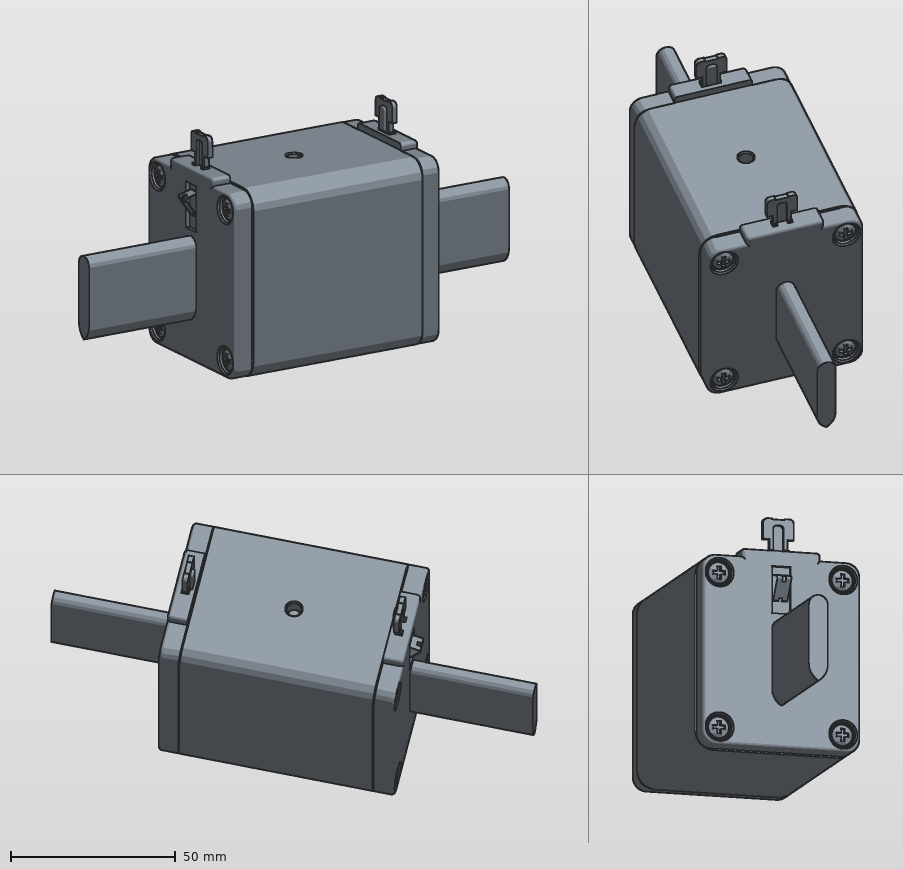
import cadquery as cq
import math

BODY_WIDTH = 51.0
BODY_HEIGHT = 60.0
BODY_LENGTH = 60.3
BODY_CORNER_RADIUS = 6.0

CAP_INSET = 0.5
CAP_DEPTH = 6.3
CAP_GAP = 0.3
CAP_SEAT_INSET = 0.9
CAP_CORNER_RADIUS = 4.4
CAP_EDGE_RADIUS = 1.12
RIDGE_WIDTH = 24.9
RIDGE_TOP = 62.0
RIDGE_CORNER_RADIUS = 1.0

OVERALL_LENGTH = 150.0
BLADE_WIDTH = 6.0
BLADE_FLAT_BOTTOM = 18.9
BLADE_FLAT_TOP = 37.4

SCREW_SPACING_X = 39.3
SCREW_SPACING_Z = 48.0
SCREW_HOLE_DIAMETER = 8.0
SCREW_HOLE_DEPTH = 1.8
SCREW_COUNTERSINK_DIAMETER = 9.0
SCREW_HEAD_DIAMETER = 7.0
SCREW_DOME_DIAMETER = 6.6
SCREW_RIM_DEPTH = 1.2
SCREW_CROWN_DEPTH = 0.2
CROSS_LENGTH = 3.9
CROSS_WIDTH = 1.2
CROSS_DEPTH = 1.5

LUG_TOP = 72.5
LUG_INSET = 3.0
LUG_THICKNESS = 1.6
LUG_HEAD_WIDTH = 9.8
LUG_HEAD_BOTTOM = 66.0
LUG_HEAD_RADIUS = 1.5
LUG_STEM_WIDTH = 5.7
LUG_NOTCH_WIDTH = 4.0
LUG_NOTCH_DEPTH = 0.3
LUG_FOOT_WIDTH = 6.3
LUG_FOOT_PROJECTION = 0.6
LUG_FOOT_HEIGHT = 0.6
BEAD_TOP = 70.4
BEAD_WIDTH = 3.3
BEAD_RADIUS = 1.2
BEAD_DEPTH = 0.9
BEAD_EDGE_RADIUS = 0.5

WINDOW_WIDTH = 6.0
WINDOW_BOTTOM = 42.3
WINDOW_TOP = 57.0
WINDOW_DEPTH = 1.4
FLAG_WIDTH = 4.5
FLAG_TOP = 54.6
FLAG_TIP_HEIGHT = 53.2
FLAG_BOTTOM = 46.4
FLAG_REACH = 3.6
FLAG_TIP_RADIUS = 0.8
FLAG_SLOT_WIDTH = 1.0
FLAG_SLOT_START = 1.6
FLAG_SLOT_BOTTOM = 51.8
FLAG_THICKNESS = 0.2
FLAG_NOTCH_HEIGHT = 0.9

TOP_HOLE_DIAMETER = 4.5
TOP_HOLE_RIM_DIAMETER = 5.4
TOP_HOLE_RIM_ANGLE = 90
TOP_HOLE_DEPTH = 4.5

OVERLAP = 0.8
BODY_END = BODY_LENGTH / 2
CAP_BACK = BODY_END + CAP_GAP
CAP_FACE = CAP_BACK + CAP_DEPTH
CENTRE_Z = BODY_HEIGHT / 2


def box(width, y_start, y_end, z_bottom, z_top):
    """Block centred on X = 0 between the given Y and Z limits."""
    corner = (-width / 2, y_start, z_bottom)
    return cq.Workplane("XY").box(width, y_end - y_start, z_top - z_bottom, centered=False).translate(corner)


def front_plane(y):
    """Sketch plane at the given Y whose axes are X and Z; positive extrusion goes to -Y."""
    return cq.Workplane("XZ", origin=(0, y, 0))


def make_body():
    body = (
        box(BODY_WIDTH, -BODY_END, BODY_END, 0, BODY_HEIGHT)
        .edges("|Y")
        .fillet(BODY_CORNER_RADIUS)
    )
    return (
        body.faces(">Z")
        .workplane(origin=(0, 0, BODY_HEIGHT))
        .cskHole(TOP_HOLE_DIAMETER, TOP_HOLE_RIM_DIAMETER, TOP_HOLE_RIM_ANGLE, depth=TOP_HOLE_DEPTH)
    )


def make_cap():
    """Front cap, with its outer face at Y = -CAP_FACE."""
    plate = (
        box(BODY_WIDTH - 2 * CAP_INSET, -CAP_FACE, -CAP_BACK, CAP_INSET, BODY_HEIGHT - CAP_INSET)
        .edges("|Y")
        .fillet(CAP_CORNER_RADIUS)
    )
    ridge = (
        box(RIDGE_WIDTH, -CAP_FACE, -CAP_BACK, CENTRE_Z, RIDGE_TOP)
        .edges("|Y and >Z")
        .fillet(RIDGE_CORNER_RADIUS)
    )
    cap = plate.union(ridge).clean()
    return cap.faces("<Y").edges().fillet(CAP_EDGE_RADIUS)


def make_cap_seat():
    """Narrow waist that joins the body to the front cap and leaves a fine groove between them."""
    waist_width = BODY_WIDTH - 2 * CAP_SEAT_INSET
    waist_top = BODY_HEIGHT - CAP_SEAT_INSET
    return (
        box(waist_width, -CAP_BACK, -BODY_END, CAP_SEAT_INSET, waist_top)
        .edges("|Y")
        .fillet(BODY_CORNER_RADIUS)
    )


def make_blade():
    half = BLADE_WIDTH / 2
    tip_z = BLADE_FLAT_BOTTOM - BLADE_WIDTH * math.sin(math.radians(60))
    flank_x = BLADE_WIDTH * math.cos(math.radians(30)) - half
    flank_z = BLADE_FLAT_BOTTOM - BLADE_WIDTH * math.sin(math.radians(30))
    return (
        front_plane(-BODY_END)
        .moveTo(-half, BLADE_FLAT_BOTTOM)
        .lineTo(-half, BLADE_FLAT_TOP)
        .threePointArc((0, BLADE_FLAT_TOP + half), (half, BLADE_FLAT_TOP))
        .lineTo(half, BLADE_FLAT_BOTTOM)
        .threePointArc((flank_x, flank_z), (0, tip_z))
        .threePointArc((-flank_x, flank_z), (-half, BLADE_FLAT_BOTTOM))
        .close()
        .extrude(OVERALL_LENGTH / 2 - BODY_END)
    )


def screw_positions():
    """X and Z of the four screws."""
    return [
        (x * SCREW_SPACING_X / 2, CENTRE_Z + z * SCREW_SPACING_Z / 2)
        for x in (-1, 1)
        for z in (-1, 1)
    ]


def make_screw_hole():
    """Countersunk recess around the Y axis, open at the cap face."""
    hole_radius = SCREW_HOLE_DIAMETER / 2
    rim_radius = SCREW_COUNTERSINK_DIAMETER / 2
    floor_y = SCREW_HOLE_DEPTH - CAP_FACE
    return (
        cq.Workplane("XY")
        .moveTo(0, floor_y)
        .lineTo(hole_radius, floor_y)
        .lineTo(hole_radius, rim_radius - hole_radius - CAP_FACE)
        .lineTo(rim_radius, -CAP_FACE)
        .lineTo(rim_radius, -CAP_FACE - OVERLAP)
        .lineTo(0, -CAP_FACE - OVERLAP)
        .close()
        .revolve(360, (0, 0, 0), (0, 1, 0))
    )


def make_screw_head():
    """Domed screw head around the Y axis with a cross recess."""
    radius = SCREW_HEAD_DIAMETER / 2
    root_y = SCREW_HOLE_DEPTH + OVERLAP - CAP_FACE
    rim_y = SCREW_RIM_DEPTH - CAP_FACE
    crown_y = SCREW_CROWN_DEPTH - CAP_FACE
    cross_floor_y = crown_y + CROSS_DEPTH
    dome_radius = SCREW_DOME_DIAMETER / 2
    dome_midpoint = (dome_radius / 2, crown_y + (rim_y - crown_y) / 4)
    head = (
        cq.Workplane("XY")
        .moveTo(0, root_y)
        .lineTo(radius, root_y)
        .lineTo(radius, rim_y)
        .lineTo(dome_radius, rim_y)
        .threePointArc(dome_midpoint, (0, crown_y))
        .close()
        .revolve(360, (0, 0, 0), (0, 1, 0))
    )
    for length, height in ((CROSS_LENGTH, CROSS_WIDTH), (CROSS_WIDTH, CROSS_LENGTH)):
        head = head.cut(front_plane(cross_floor_y).rect(length, height).extrude(CROSS_DEPTH + OVERLAP))
    return head


def make_lug():
    outer_y = LUG_INSET - CAP_FACE
    inner_y = outer_y + LUG_THICKNESS
    middle_y = outer_y + LUG_THICKNESS / 2
    root_z = RIDGE_TOP - OVERLAP
    head = (
        box(LUG_HEAD_WIDTH, outer_y, inner_y, LUG_HEAD_BOTTOM, LUG_TOP)
        .edges("|Y and >Z")
        .fillet(LUG_HEAD_RADIUS)
        .cut(box(LUG_NOTCH_WIDTH, outer_y, inner_y, LUG_TOP - LUG_NOTCH_DEPTH, LUG_TOP))
    )
    stem = box(LUG_STEM_WIDTH, outer_y, inner_y, root_z, LUG_HEAD_BOTTOM)
    foot = box(LUG_FOOT_WIDTH, outer_y - LUG_FOOT_PROJECTION, inner_y, root_z, RIDGE_TOP + LUG_FOOT_HEIGHT)

    def bead(y_start, y_end, z_bottom):
        return box(BEAD_WIDTH, y_start, y_end, z_bottom, BEAD_TOP).edges("|Y and >Z").fillet(BEAD_RADIUS)

    raised_bead = (
        bead(middle_y, inner_y + BEAD_DEPTH, RIDGE_TOP + LUG_FOOT_HEIGHT)
        .faces(">Y")
        .edges()
        .fillet(BEAD_EDGE_RADIUS)
    )
    groove = bead(outer_y - LUG_FOOT_PROJECTION, outer_y + BEAD_DEPTH, RIDGE_TOP)
    return head.union(stem).union(foot).union(raised_bead).cut(groove)


def make_flag():
    """Indicator of thin sheet, bent to a wedge that points out of the window."""
    root_y = WINDOW_DEPTH - CAP_FACE
    tip_y = -CAP_FACE - FLAG_REACH
    slot_y = -CAP_FACE - FLAG_SLOT_START
    wedge = (
        cq.Workplane("YZ", origin=(-FLAG_WIDTH / 2, 0, 0))
        .moveTo(root_y, FLAG_BOTTOM)
        .lineTo(tip_y, FLAG_TIP_HEIGHT)
        .lineTo(root_y, FLAG_TOP)
        .close()
        .extrude(FLAG_WIDTH)
        .edges("|X and <Y")
        .fillet(FLAG_TIP_RADIUS)
    )
    sheet = wedge.faces("<X or >X or >Y").shell(-FLAG_THICKNESS)
    slot = box(FLAG_SLOT_WIDTH, tip_y, slot_y, FLAG_SLOT_BOTTOM, FLAG_TOP)
    notch = box(FLAG_SLOT_WIDTH, tip_y, root_y, FLAG_BOTTOM, FLAG_BOTTOM + FLAG_NOTCH_HEIGHT)
    return sheet.cut(slot).cut(notch)


def make_front_end():
    """Cap, blade, screws and lug of the front end."""
    end = make_cap().union(make_cap_seat()).union(make_blade()).union(make_lug())
    for x, z in screw_positions():
        end = end.cut(make_screw_hole().translate((x, 0, z)))
        end = end.union(make_screw_head().translate((x, 0, z)))
    return end


front_end = make_front_end()
window = box(WINDOW_WIDTH, -CAP_FACE, WINDOW_DEPTH - CAP_FACE, WINDOW_BOTTOM, WINDOW_TOP)

result = (
    make_body()
    .union(front_end)
    .union(front_end.mirror("XZ"))
    .cut(window)
    .union(make_flag())
)